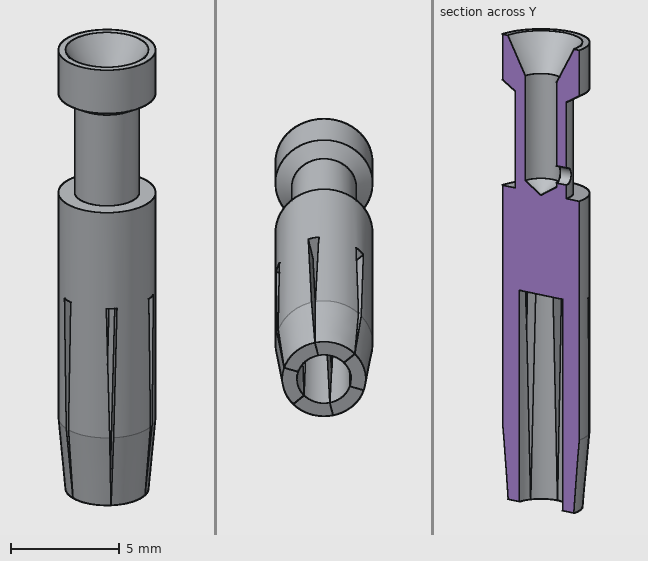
import cadquery as cq
import math

total_length = 22.3
body_radius = 2.25

body_top = 15.05
taper_height = 3.6
tip_radius = 1.93
socket_bore_radius = 1.25

neck_radius = 1.5
neck_top = 19.67
head_bottom = 20.1

funnel_radius = 1.92
funnel_angle = 60.0
wire_bore_radius = 0.9
wire_bore_bottom = 15.5
drill_point_angle = 118.0

inspection_radius = 0.4
inspection_height = 16.1

slot_count = 6
slot_top = 10.15
slot_top_width = 0.5
slot_tip_width = 0.01
first_slot_angle = 30.0

socket_bore_depth = slot_top


def cone_height(radius_change, included_angle):
    """Axial length over which a cone changes its radius by the given amount."""
    return radius_change / math.tan(math.radians(included_angle / 2))


def turned(points):
    """Solid of revolution about Z from an outline of (radius, height) points."""
    return cq.Workplane("XZ").polyline(points).close().revolve(360, (0, 0, 0), (0, 1, 0))


def make_outside():
    return turned([
        (0, 0),
        (tip_radius, 0),
        (body_radius, taper_height),
        (body_radius, body_top),
        (neck_radius, body_top),
        (neck_radius, neck_top),
        (body_radius, head_bottom),
        (body_radius, total_length),
        (0, total_length),
    ])


def make_wire_entry():
    funnel_bottom = total_length - cone_height(funnel_radius - wire_bore_radius, funnel_angle)
    drill_tip = wire_bore_bottom - cone_height(wire_bore_radius, drill_point_angle)
    return turned([
        (0, drill_tip),
        (wire_bore_radius, wire_bore_bottom),
        (wire_bore_radius, funnel_bottom),
        (funnel_radius, total_length),
        (0, total_length),
    ])


def make_socket_bore():
    return cq.Workplane("XY").circle(socket_bore_radius).extrude(socket_bore_depth)


def make_inspection_hole():
    """Radial hole from the -X side to the axis."""
    return (
        cq.Workplane("YZ")
        .center(0, inspection_height)
        .circle(inspection_radius)
        .extrude(-neck_radius)
    )


def make_slot(angle):
    """Wedge-shaped slot through one side of the wall, narrowing toward the tip."""
    outline = [
        (-slot_tip_width / 2, 0),
        (slot_tip_width / 2, 0),
        (slot_top_width / 2, slot_top),
        (-slot_top_width / 2, slot_top),
    ]
    slot = cq.Workplane("YZ").polyline(outline).close().extrude(body_radius)
    return slot.rotate((0, 0, 0), (0, 0, 1), angle)


result = make_outside()
result = result.cut(make_wire_entry())
result = result.cut(make_socket_bore())
result = result.cut(make_inspection_hole())
for index in range(slot_count):
    result = result.cut(make_slot(first_slot_angle + index * 360 / slot_count))